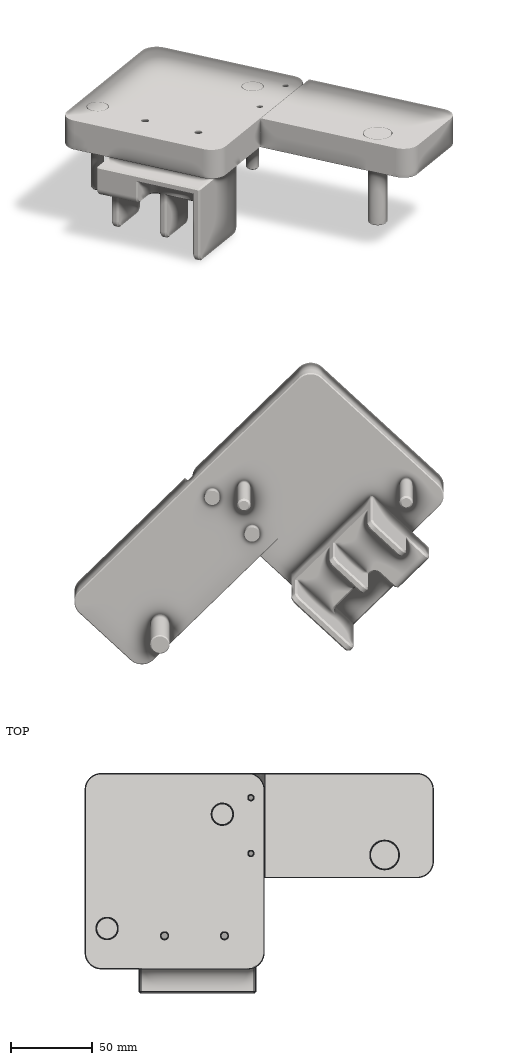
import cadquery as cq


PLATE_THICKNESS = 20.0
CORNER_RADIUS = 10.0
MAIN_LENGTH = 110.0
MAIN_WIDTH = 120.0
ARM_END = 214.0
ARM_WIDTH = 64.0
LAP_THICKNESS = PLATE_THICKNESS / 2
LAP_LENGTH = 16.0
SHOULDER_GAP = 0.5
PLATE_CHAMFER = 0.6

BRACKET_LEFT = 33.2
BRACKET_LENGTH = 71.7
BRACKET_WIDTH = 50.0
BRACKET_HEIGHT = 50.0
BRACKET_OVERHANG = 15.0
BRACKET_ROUND = 5.0
BRACKET_CHAMFER = 1.0
WALL = 5.0
BLOCK_HEIGHT = 20.1
NOTCH_DEPTH = 20.0
POCKET_LEFT = 61.8
POCKET_CORNER = 4.0

BRACKET_FRONT = -MAIN_WIDTH - BRACKET_OVERHANG
BRACKET_REAR = BRACKET_FRONT + BRACKET_WIDTH
BRACKET_RIGHT = BRACKET_LEFT + BRACKET_LENGTH
NOTCH_BACK = BRACKET_FRONT + NOTCH_DEPTH
PLATE_BOTTOM = -PLATE_THICKNESS

HEAD_CLEARANCE = 0.5
SMALL_PIN = dict(shaft=8.1, head=12.8, head_height=6.5, reach=35.3, chamfer=1.0)
LARGE_PIN = dict(shaft=12.0, head=17.3, head_height=6.5, reach=40.0, chamfer=0.6)
SMALL_PIN_PLACES = [(84.3, -25.0), (13.5, -95.2)]
LARGE_PIN_PLACE = (184.0, -50.0)

TIP_RECESS = 4.3
SHANK_CLEARANCE = 0.32
ARM_SCREW = dict(shank=3.2, head=9.2, head_height=5.4)
ARM_SCREW_X = 101.9
ARM_SCREW_SPACING = 34.2
ARM_SCREW_PLACES = [(ARM_SCREW_X, -ARM_WIDTH / 2 + side * ARM_SCREW_SPACING / 2) for side in (1, -1)]
BRACKET_SCREW = dict(shank=4.3, head=10.0, head_height=5.4)
BRACKET_SCREW_Y = -99.7
BRACKET_SCREW_PLACES = [(48.8, BRACKET_SCREW_Y), (85.5, BRACKET_SCREW_Y)]
BRACKET_HEAD_SEAT = PLATE_BOTTOM - BLOCK_HEIGHT + BRACKET_SCREW["head_height"]


def box(x_min, x_max, y_min, y_max, z_min, z_max):
    """Box between two opposite corners."""
    return cq.Workplane("XY").box(
        x_max - x_min, y_max - y_min, z_max - z_min, centered=False
    ).translate((x_min, y_min, z_min))


def rod(place, diameter, z_min, z_max):
    """Upright cylinder at an (x, y) place."""
    return cq.Workplane("XY", origin=(*place, z_min)).circle(diameter / 2).extrude(z_max - z_min)


def pin_hole(place, pin):
    """Through hole with a counterbore in the top face."""
    shaft = rod(place, pin["shaft"], PLATE_BOTTOM, 0)
    return shaft.union(rod(place, pin["head"] + 2 * HEAD_CLEARANCE, -pin["head_height"], 0))


def screw_hole(place, screw, z_min, z_max):
    """Hole with a little clearance around a screw's shank."""
    return rod(place, screw["shank"] + 2 * SHANK_CLEARANCE, z_min, z_max)


def make_pin(place, pin):
    """Pin with a flat head flush with the top face and a chamfered lower end."""
    shaft = rod(place, pin["shaft"], PLATE_BOTTOM - pin["reach"], 0)
    shaft = shaft.faces("<Z").chamfer(pin["chamfer"])
    return shaft.union(rod(place, pin["head"], -pin["head_height"], 0))


def make_screw(place, screw, seat):
    """Screw pointing up, with its cylindrical head below the seat height."""
    shank = rod(place, screw["shank"], seat, -TIP_RECESS)
    return shank.union(rod(place, screw["head"], seat - screw["head_height"], seat))


def make_main_plate():
    plate = box(0, MAIN_LENGTH, -MAIN_WIDTH, 0, PLATE_BOTTOM, 0).edges("|Z").fillet(CORNER_RADIUS)
    plate = plate.faces("<Z").chamfer(PLATE_CHAMFER)
    plate = plate.cut(
        box(MAIN_LENGTH - LAP_LENGTH, MAIN_LENGTH, -ARM_WIDTH, 0, PLATE_BOTTOM, -LAP_THICKNESS)
    )
    for place in SMALL_PIN_PLACES:
        plate = plate.cut(pin_hole(place, SMALL_PIN))
    for place in ARM_SCREW_PLACES:
        plate = plate.cut(screw_hole(place, ARM_SCREW, PLATE_BOTTOM, 0))
    for place in BRACKET_SCREW_PLACES:
        plate = plate.cut(screw_hole(place, BRACKET_SCREW, PLATE_BOTTOM, 0))
    return plate


def make_arm():
    arm = box(MAIN_LENGTH - LAP_LENGTH, ARM_END, -ARM_WIDTH, 0, PLATE_BOTTOM, 0)
    arm = arm.edges("|Z and >X").fillet(CORNER_RADIUS)
    arm = arm.faces("<Z").edges("not <X").chamfer(PLATE_CHAMFER)
    arm = arm.cut(
        box(MAIN_LENGTH - LAP_LENGTH, MAIN_LENGTH + SHOULDER_GAP, -ARM_WIDTH, 0, -LAP_THICKNESS, 0)
    )
    for place in ARM_SCREW_PLACES:
        arm = arm.cut(screw_hole(place, ARM_SCREW, PLATE_BOTTOM, -LAP_THICKNESS))
    return arm.cut(pin_hole(LARGE_PIN_PLACE, LARGE_PIN))


def bracket_leg(left, front):
    """Upright wall with rounded lower corners and chamfered outlines on both sides."""
    leg_top = PLATE_BOTTOM - BRACKET_CHAMFER
    leg = box(left, left + WALL, front, BRACKET_REAR, PLATE_BOTTOM - BRACKET_HEIGHT, leg_top)
    leg = leg.edges("|X and <Z").fillet(BRACKET_ROUND)
    return leg.faces("|X").chamfer(BRACKET_CHAMFER)


def make_bracket():
    block_bottom = PLATE_BOTTOM - BLOCK_HEIGHT
    block = box(BRACKET_LEFT, BRACKET_RIGHT, BRACKET_FRONT, BRACKET_REAR, block_bottom, PLATE_BOTTOM)
    block = block.edges("|X and <Z and <Y").fillet(BRACKET_ROUND)

    pocket = box(
        POCKET_LEFT, BRACKET_RIGHT - WALL, BRACKET_FRONT, NOTCH_BACK, block_bottom, PLATE_BOTTOM - WALL
    ).edges("|Z and >Y").fillet(POCKET_CORNER)

    body = block.cut(pocket)

    body = body.faces("<X or >X or <Y").edges().chamfer(BRACKET_CHAMFER)

    right_leg_left = BRACKET_RIGHT - WALL
    middle_leg_left = (BRACKET_LEFT + right_leg_left) / 2
    for left, front in (
        (BRACKET_LEFT, NOTCH_BACK),
        (middle_leg_left, NOTCH_BACK),
        (right_leg_left, BRACKET_FRONT),
    ):
        body = body.union(bracket_leg(left, front))
    body = body.clean()

    for place in BRACKET_SCREW_PLACES:
        body = body.cut(screw_hole(place, BRACKET_SCREW, block_bottom, PLATE_BOTTOM))
        body = body.cut(rod(place, BRACKET_SCREW["head"], block_bottom, BRACKET_HEAD_SEAT))
    return body


main_plate = make_main_plate()
arm = make_arm()
bracket = make_bracket()
small_pins = [make_pin(place, SMALL_PIN) for place in SMALL_PIN_PLACES]
large_pin = make_pin(LARGE_PIN_PLACE, LARGE_PIN)
arm_screws = [make_screw(place, ARM_SCREW, PLATE_BOTTOM) for place in ARM_SCREW_PLACES]
bracket_screws = [make_screw(place, BRACKET_SCREW, BRACKET_HEAD_SEAT) for place in BRACKET_SCREW_PLACES]

result = cq.Compound.makeCompound([
    main_plate.val(),
    arm.val(),
    bracket.val(),
    *[pin.val() for pin in small_pins],
    large_pin.val(),
    *[screw.val() for screw in arm_screws],
    *[screw.val() for screw in bracket_screws],
])